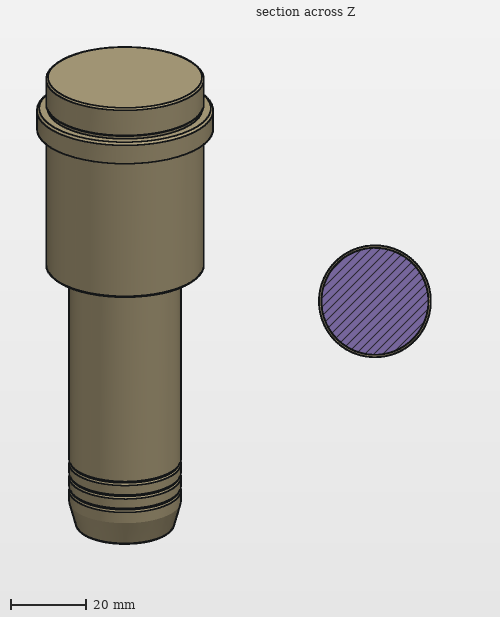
import cadquery as cq

flange_radius = 23.5
body_radius = 21.0
shank_radius = 15.0
tip_radius = 13.1

total_height = 130.0
head_bottom = 121.8
flange_top = 121.0
flange_bottom = 115.0
body_top = 114.7
body_bottom = 75.0
shank_top = 73.8
nose_height = 7.0

body_relief_depth = 0.4
shank_relief_depth = 0.6
groove_width = 1.2
groove_depth = 0.4
groove_bottoms = (18.0, 14.0, 10.1)
flange_chamfer = 0.6
edge_chamfer = 0.5
relief_chamfer = 0.4
tip_chamfer = 0.4


def cylinder(radius, bottom, top):
    """Solid cylinder about Z between two heights."""
    return cq.Workplane("XY").workplane(offset=bottom).circle(radius).extrude(top - bottom)


def make_shank():
    """Guide shank with a tapered nose and three shallow V-grooves."""
    shank = (
        cq.Workplane("XZ")
        .lineTo(tip_radius - tip_chamfer, 0)
        .lineTo(tip_radius, tip_chamfer)
        .lineTo(shank_radius, nose_height)
        .lineTo(shank_radius, shank_top)
        .lineTo(0, shank_top)
        .close()
        .revolve(360, (0, 0, 0), (0, 1, 0))
    )
    for bottom in groove_bottoms:
        groove = (
            cq.Workplane("XZ")
            .moveTo(shank_radius, bottom)
            .lineTo(shank_radius - groove_depth, bottom + groove_width / 2)
            .lineTo(shank_radius, bottom + groove_width)
            .close()
            .revolve(360, (0, 0, 0), (0, 1, 0))
        )
        shank = shank.cut(groove)
    return shank


shank_relief = cylinder(shank_radius - shank_relief_depth, shank_top, body_bottom)
body = cylinder(body_radius, body_bottom, body_top).faces("<Z").chamfer(edge_chamfer)
body = body.faces(">Z").chamfer(relief_chamfer)
flange = cylinder(flange_radius, flange_bottom, flange_top).faces(">Z").chamfer(flange_chamfer)
head = cylinder(body_radius, head_bottom, total_height).faces(">Z").chamfer(edge_chamfer)
head = head.faces("<Z").chamfer(relief_chamfer)

neck_radius = body_radius - body_relief_depth
lower_neck = cylinder(neck_radius, body_top, flange_bottom)
upper_neck = cylinder(neck_radius, flange_top, head_bottom)

result = make_shank()
for section in (shank_relief, body, lower_neck, flange, upper_neck, head):
    result = result.union(section)